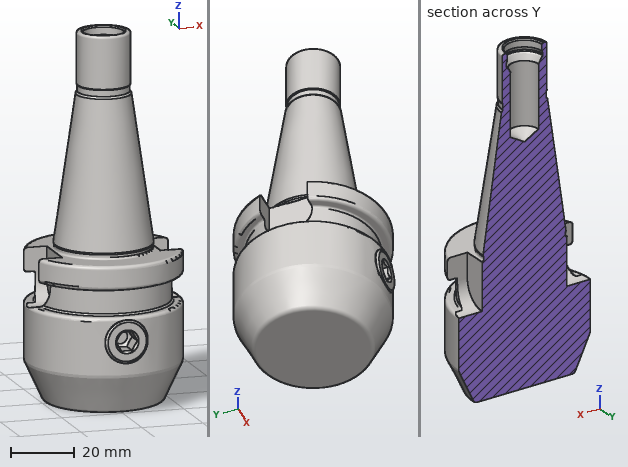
import cadquery as cq
import math

total_length = 118.4
gauge_height = 50.0

body_radius = 25.0
body_top = 31.8
edge_round = 1.2
body_cone_top = 12.9
nose_radius = 19.0
nose_round = 1.7
shoulder_round = 2.4

neck_radius = 21.4
neck_fillet = 0.7
collar_fillet = 0.6

flange_radius = 25.0
flange_bottom = 40.6
flange_top = 48.4

taper_ratio = 7 / 48
gauge_radius = 15.9
taper_base = 50.5
taper_top = 98.4
relief_radius = 15.5
relief_top = gauge_height
relief_fillet = 0.7

groove_radius = 8.3
groove_bottom = 99.1
groove_top = 101.1
tail_radius = 8.5
tail_base = 101.5
tail_round = 0.8

counterbore_radius = 6.5
counterbore_depth = 2.8
undercut_radius = 6.9
undercut_start = 3.9
undercut_end = 4.5
centre_radius = 6.4
centre_depth = 5.0
rim_chamfer = 0.5
thread_radius = 5.2
thread_start_depth = 7.0
thread_depth = 29.6
drill_tip_angle = 120.0

slot_width = 16.1
slot_floor_offset = 16.1
slot_bottom = 31.3

screw_radius = 7.0
screw_height = 24.0
screw_chamfer = 0.7
screw_face = body_radius
screw_seat_depth = 9.5
socket_across_flats = 6.0
socket_mouth_radius = 3.8
socket_depth = 5.9
socket_floor_radius = 2.2

FILLET_MID = 1 - math.sqrt(0.5)

overshoot = 1.2


def taper_radius(z):
    return gauge_radius - taper_ratio * (z - gauge_height)


def disc(radius, bottom, top):
    return cq.Workplane("XY").workplane(offset=bottom).circle(radius).extrude(top - bottom)


def turn(outline):
    """Revolve a closed half section around the Z axis."""
    return outline.revolve(360, (0, 0, 0), (0, 1, 0))


def turned_polygon(points):
    """Turn a list of (radius, height) points around the Z axis."""
    return turn(cq.Workplane("XZ").polyline(points).close())


def body():
    collar = turned_polygon([
        (0, 0),
        (nose_radius, 0),
        (body_radius, body_cone_top),
        (body_radius, body_top),
        (0, body_top),
    ])
    collar = collar.edges("%CIRCLE and (not >Z) and (not <Z)").fillet(shoulder_round)
    collar = collar.faces("<Z").edges().fillet(nose_round)
    return collar.faces(">Z").edges().fillet(edge_round)


def flange():
    rim = disc(flange_radius, flange_bottom, flange_top)
    return rim.edges().fillet(edge_round)


def neck():
    """Cylinder between collar and flange, flared by a fillet at both ends."""
    lower_mid = collar_fillet * FILLET_MID
    upper_mid = neck_fillet * FILLET_MID
    outline = (
        cq.Workplane("XZ")
        .moveTo(0, body_top)
        .lineTo(neck_radius + collar_fillet, body_top)
        .threePointArc(
            (neck_radius + lower_mid, body_top + lower_mid),
            (neck_radius, body_top + collar_fillet),
        )
        .lineTo(neck_radius, flange_bottom - neck_fillet)
        .threePointArc(
            (neck_radius + upper_mid, flange_bottom - upper_mid),
            (neck_radius + neck_fillet, flange_bottom),
        )
        .lineTo(0, flange_bottom)
        .close()
    )
    return turn(outline)


def shank():
    """Taper with its relief, the groove above it and the cylindrical tail."""
    relief_mid = relief_fillet * FILLET_MID
    outline = (
        cq.Workplane("XZ")
        .moveTo(0, flange_top)
        .lineTo(relief_radius + relief_fillet, flange_top)
        .threePointArc(
            (relief_radius + relief_mid, flange_top + relief_mid),
            (relief_radius, flange_top + relief_fillet),
        )
        .lineTo(relief_radius, relief_top)
        .lineTo(taper_radius(taper_base), taper_base)
        .lineTo(taper_radius(taper_top), taper_top)
        .lineTo(groove_radius, groove_bottom)
        .lineTo(groove_radius, groove_top)
        .lineTo(tail_radius, tail_base)
        .lineTo(tail_radius, total_length)
        .lineTo(0, total_length)
        .close()
    )
    return turn(outline).faces(">Z").edges().fillet(tail_round)


def tail_bore():
    """Stepped and threaded centre hole, ending in a drill tip."""
    tip_length = thread_radius / math.tan(math.radians(drill_tip_angle / 2))
    radius_and_depth = [
        (0, 0),
        (counterbore_radius + rim_chamfer, 0),
        (counterbore_radius, rim_chamfer),
        (counterbore_radius, counterbore_depth),
        (undercut_radius, undercut_start),
        (undercut_radius, undercut_end),
        (centre_radius, centre_depth),
        (thread_radius, thread_start_depth),
        (thread_radius, thread_depth),
        (0, thread_depth + tip_length),
    ]
    return turned_polygon([(r, total_length - depth) for r, depth in radius_and_depth])


def drive_slot(side):
    """Round-bottomed slot with a flat floor; side is +1 for +X, -1 for -X."""
    half_width = slot_width / 2
    arc_height = slot_bottom + half_width
    top = flange_top + overshoot
    outline = (
        cq.Workplane("YZ")
        .workplane(offset=side * slot_floor_offset)
        .moveTo(-half_width, top)
        .lineTo(-half_width, arc_height)
        .threePointArc((0, slot_bottom), (half_width, arc_height))
        .lineTo(half_width, top)
        .close()
    )
    return outline.extrude(side * (body_radius + overshoot - slot_floor_offset))


def screw_plane(distance):
    """Sketch plane facing -Y at the given distance from the part axis."""
    return cq.Workplane("XZ", origin=(0, -distance, screw_height))


def screw_seat():
    seat_floor = screw_face - screw_seat_depth
    return screw_plane(seat_floor).circle(screw_radius).extrude(screw_seat_depth + overshoot)


def socket_cone(start_radius, end_radius, length, start_depth=0):
    """Cone on the screw axis that begins start_depth below the screw's end face."""
    start = cq.Vector(0, start_depth - screw_face, screw_height)
    cone = cq.Solid.makeCone(start_radius, end_radius, length, start, cq.Vector(0, 1, 0))
    return cq.Workplane(obj=cone)


def clamping_screw():
    seat_floor = screw_face - screw_seat_depth
    screw = screw_plane(seat_floor).circle(screw_radius).extrude(screw_seat_depth)
    screw = screw.faces("<Y").edges().chamfer(screw_chamfer)

    corner_radius = socket_across_flats / math.sqrt(3)
    floor_depth = corner_radius - socket_floor_radius
    socket_end = socket_depth + floor_depth
    hexagon = screw_plane(screw_face).polygon(6, 2 * corner_radius).extrude(-socket_end)

    drilled_floor = socket_cone(corner_radius, socket_floor_radius, floor_depth, socket_depth)
    straight_part = screw_plane(screw_face).circle(corner_radius + overshoot).extrude(-socket_depth)
    socket = hexagon.intersect(straight_part.union(drilled_floor))

    mouth_depth = socket_mouth_radius - socket_floor_radius
    mouth = socket_cone(socket_mouth_radius, socket_floor_radius, mouth_depth)
    return screw.cut(socket).cut(mouth)


result = body().union(neck()).union(flange()).union(shank())
result = result.cut(tail_bore())
for side in (1, -1):
    result = result.cut(drive_slot(side))
result = result.cut(screw_seat()).union(clamping_screw())